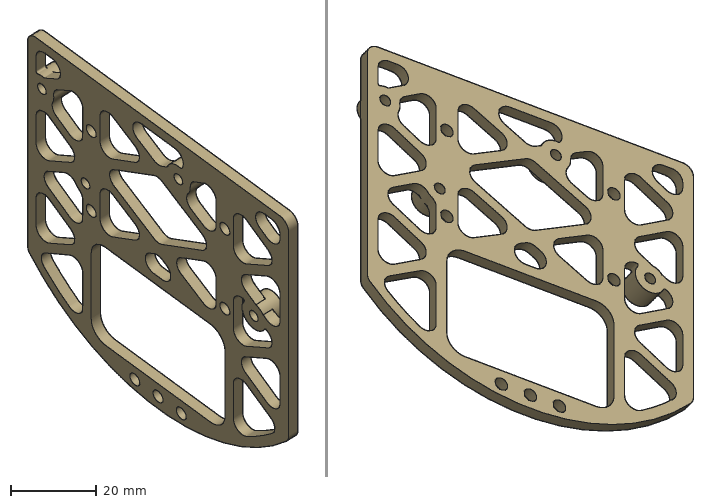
import cadquery as cq
import math

width = 90
height = 90
total_depth = 6.0
plate_depth = total_depth / 2
frame_width = 3.0
round_radius = 3.0
arc_corner_z = -24.6

half_width = width / 2
top_z = height / 2
bottom_z = -height / 2
arc_rise = arc_corner_z - bottom_z
arc_radius = (half_width**2 + arc_rise**2) / (2 * arc_rise)
arc_center_z = bottom_z + arc_radius
pocket_arc_radius = arc_radius - frame_width

frame_x = half_width - frame_width
frame_top_z = top_z - frame_width
bar_outer_x = 26.0
bar_inner_x = 20.0

cell_pitch = 13.1
cell_half_height = 9.7
first_cell_z = frame_top_z
lowest_cell = 5

center_z = 18.45
rhombus_half_height = 10.8
center_slope = rhombus_half_height / bar_inner_x
rib_gap = 3.3
inner_cell_offset = 12.4
inner_cell_half_height = inner_cell_offset - rib_gap
inner_tip_x = bar_inner_x - inner_cell_half_height / center_slope

window_half_width = 23.0
window_top_z = -5.8
window_bottom_z = -37.0
window_radius = 5.0

mount_diameter = 3.4
mount_x = 23.0
mount_z_center = 15.3
mount_z_spacing = 25.5
row_pitch = 8.0
row_z = -41.0

boss_diameter = 8.2
boss_hole_diameter = 3.0
small_radius = 0.45
edge_tolerance = 0.01
boss_left_top = (-40.05, 30.0)
boss_left = (-25.0, 10.0)
boss_top = (7.0, 33.0)
boss_right = (33.0, 7.0)
bosses = [boss_left_top, boss_left, boss_top, boss_right]


def front_plane():
    return cq.Workplane("XZ")


def cylinders(points, diameter, depth):
    return front_plane().pushPoints(points).circle(diameter / 2).extrude(-depth)


def prism(points):
    return front_plane().polyline(points).close().extrude(-plate_depth)


def rounded(body, radius=round_radius):
    return body.edges("|Y").fillet(radius)


def mirrored(points):
    return [(-x, z) for x, z in points]


def without_boss(body, boss):
    return body.cut(cylinders([boss], boss_diameter, plate_depth))


def rounded_at_boss(body, boss, radius):
    """Round only the pocket corners that lie on the boss."""
    def on_boss(edge):
        middle = edge.Center()
        distance = math.hypot(middle.x - boss[0], middle.z - boss[1])
        return abs(distance - boss_diameter / 2) < edge_tolerance

    return body.edges("|Y").filter(on_boss).fillet(radius)


def outer_cell(index):
    """Right-hand triangle; even ones stand on the frame, odd ones on the bar."""
    z = first_cell_z - index * cell_pitch
    base_x, tip_x = (frame_x, bar_outer_x) if index % 2 == 0 else (bar_outer_x, frame_x)
    return [(base_x, z + cell_half_height), (base_x, z - cell_half_height), (tip_x, z)]


def inner_cell(z):
    return [
        (bar_inner_x, z + inner_cell_half_height),
        (bar_inner_x, z - inner_cell_half_height),
        (inner_tip_x, z),
    ]


def clipped_center_cell(base_z, apex_z):
    half_base = abs(base_z - apex_z) / center_slope
    return prism([(-half_base, base_z), (half_base, base_z), (0, apex_z)])


def make_plate():
    outline = (
        front_plane()
        .moveTo(-half_width, top_z)
        .lineTo(half_width, top_z)
        .lineTo(half_width, arc_corner_z)
        .threePointArc((0, bottom_z), (-half_width, arc_corner_z))
        .close()
    )
    return rounded(outline.extrude(-plate_depth))


def corner_pockets():
    corner = [
        (frame_x, frame_top_z),
        (frame_x, first_cell_z - cell_half_height),
        (bar_outer_x, frame_top_z),
    ]
    left = without_boss(prism(mirrored(corner)), boss_left_top)
    left = rounded_at_boss(left, boss_left_top, small_radius)
    left = left.edges("|Y").edges(">Z").fillet(round_radius)
    return [rounded(prism(corner)), left]


def outer_pockets():
    first, second, third, fourth = [outer_cell(index) for index in range(1, lowest_cell)]
    plain_cells = [first, second, mirrored(second), fourth, mirrored(fourth)]
    pockets = [rounded(prism(cell)) for cell in plain_cells]
    pockets.append(rounded(without_boss(prism(mirrored(first)), boss_left_top)))
    pockets.append(rounded(without_boss(prism(mirrored(third)), boss_left)))
    hooked = without_boss(rounded(prism(third)), boss_right)
    pockets.append(rounded_at_boss(hooked, boss_right, small_radius))
    return pockets


def arc_pockets():
    """Lowest outer pockets, whose lower side runs parallel to the bottom arc."""
    def on_arc(x):
        return (x, arc_center_z - math.sqrt(pocket_arc_radius**2 - x**2))

    top_corner_z = first_cell_z - lowest_cell * cell_pitch + cell_half_height
    right = (
        front_plane()
        .moveTo(bar_outer_x, top_corner_z)
        .lineTo(*on_arc(frame_x))
        .threePointArc(on_arc((frame_x + bar_outer_x) / 2), on_arc(bar_outer_x))
        .close()
        .extrude(-plate_depth)
    )
    right = rounded(right)
    return [right, right.mirror("YZ")]


def center_pockets():
    rhombus = [
        (bar_inner_x, center_z),
        (0, center_z + rhombus_half_height),
        (-bar_inner_x, center_z),
        (0, center_z - rhombus_half_height),
    ]
    upper = inner_cell(center_z + inner_cell_offset)
    lower = inner_cell(center_z - inner_cell_offset)
    pockets = [rounded(prism(cell)) for cell in (rhombus, mirrored(upper), lower, mirrored(lower))]
    hollowed = without_boss(rounded(prism(upper)), boss_top)
    pockets.append(rounded_at_boss(hollowed, boss_top, round_radius))

    apex_distance = rhombus_half_height + rib_gap
    top_slot = rounded(clipped_center_cell(frame_top_z, center_z + apex_distance))
    pockets.append(rounded_at_boss(without_boss(top_slot, boss_top), boss_top, small_radius))
    pockets.append(rounded(clipped_center_cell(window_top_z + frame_width, center_z - apex_distance)))
    return pockets


def window():
    corners = [
        (-window_half_width, window_top_z),
        (window_half_width, window_top_z),
        (window_half_width, window_bottom_z),
        (-window_half_width, window_bottom_z),
    ]
    return rounded(prism(corners), window_radius)


def mounting_holes():
    corners = [
        (side * mount_x, mount_z_center + level * mount_z_spacing / 2)
        for side in (-1, 1)
        for level in (-1, 1)
    ]
    row = [(index * row_pitch, row_z) for index in (-1, 0, 1)]
    return cylinders(corners + row, mount_diameter, plate_depth)


result = make_plate()
for pocket in corner_pockets() + outer_pockets() + arc_pockets() + center_pockets():
    result = result.cut(pocket)
result = result.cut(window()).cut(mounting_holes())
result = result.union(cylinders(bosses, boss_diameter, total_depth))
result = result.cut(cylinders(bosses, boss_hole_diameter, total_depth))